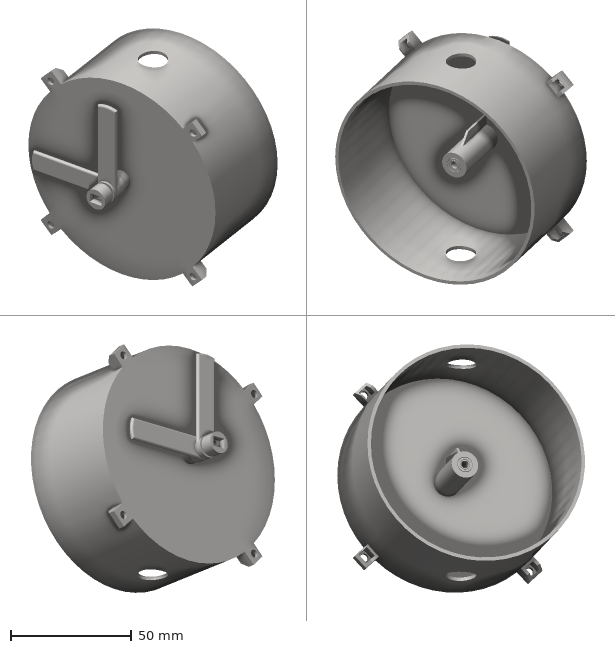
import cadquery as cq

HOUSING_RADIUS = 47.0
HOUSING_DEPTH = 46.1
WALL = 1.5
SIDE_HOLE_DIAMETER = 12.7

BOSS_DIAMETER = 8.3
BOSS_LENGTH = 4.5
SLEEVE_DIAMETER = 11.5
SLEEVE_LENGTH = 28.95
SPINDLE_BORE = 6.6
RIB_THICKNESS = 1.0
RIB_TOP_LENGTH = 17.6
RIB_LENGTH = 22.4

LUG_ANGLE = 44.7
LUG_REACH = 53.6
LUG_OUTER_HALF_WIDTH = 3.9
LEFT_LUG_INNER_HALF_WIDTH = 3.95
RIGHT_LUG_INNER_HALF_WIDTH = 3.1
LUG_DEPTH = 6.0
LUG_EDGE_DEPTH = 3.1
LUG_BEVEL = 2.7
SCREW_HOLE_DIAMETER = 3.5
SCREW_HOLE_RADIUS = 50.3
NUT_POCKET_LENGTH = 4.3
NUT_POCKET_WIDTH = 4.8
NUT_POCKET_FLOOR = 1.5

HAND_WIDTH = 9.4
HAND_THICKNESS = 1.4
HAND_ROUND = 0.9
TIP_BULGE = 0.8
HOUR_HAND_REACH = 39.2
HOUR_COLLAR_START = 4.8
HOUR_ARM_START = 8.1
HOUR_STEM_DIAMETER = 6.2
MINUTE_HAND_REACH = 41.5
MINUTE_HUB_DIAMETER = 9.5
MINUTE_HUB_START = 9.6
MINUTE_HUB_LENGTH = 3.1
MINUTE_ARM_START = 10.1

SHAFT_DIAMETER = 4.0
SHAFT_HOLE = 4.3
SHAFT_BORE = 3.2
KNOB_DIAMETER = 9.4
KNOB_START = 13.6
KNOB_END = 19.4
KNOB_SOCKET_WIDTH = 5.9
KNOB_SOCKET_HEIGHT = 4.3
KNOB_SOCKET_DEPTH = 3.0


def cylinder(diameter, y_back, y_front):
    """Cylinder on the spindle axis, reaching from y_back forward to y_front."""
    return cq.Workplane("XZ", origin=(0, y_back, 0)).circle(diameter / 2).extrude(y_back - y_front)


def make_lug(inner_half_width):
    """Upper right lug with a bevelled back edge; `inner_half_width` is on the side nearer the X axis."""
    root = HOUSING_RADIUS - 2 * WALL
    lug = (
        cq.Workplane("XY", origin=(0, 0, -inner_half_width))
        .moveTo(root, 0)
        .lineTo(LUG_REACH, 0)
        .lineTo(LUG_REACH, LUG_EDGE_DEPTH)
        .lineTo(LUG_REACH - LUG_BEVEL, LUG_DEPTH)
        .lineTo(root, LUG_DEPTH)
        .close()
        .extrude(inner_half_width + LUG_OUTER_HALF_WIDTH)
    )
    pocket = cq.Workplane("XY").box(
        NUT_POCKET_LENGTH, LUG_DEPTH, NUT_POCKET_WIDTH, centered=(True, False, True)
    ).translate((SCREW_HOLE_RADIUS, NUT_POCKET_FLOOR, 0))
    hole = cylinder(SCREW_HOLE_DIAMETER, LUG_DEPTH, 0).translate((SCREW_HOLE_RADIUS, 0, 0))
    return lug.cut(pocket).cut(hole).rotate((0, 0, 0), (0, 1, 0), -LUG_ANGLE)


def make_housing():
    """Round case, open at the back, with its lugs, boss and inner sleeve."""
    housing = cylinder(2 * HOUSING_RADIUS, HOUSING_DEPTH, 0)
    cavity = cylinder(2 * (HOUSING_RADIUS - WALL), HOUSING_DEPTH, WALL)
    upper_lugs = (
        make_lug(RIGHT_LUG_INNER_HALF_WIDTH),
        make_lug(LEFT_LUG_INNER_HALF_WIDTH).mirror("YZ"),
    )
    for lug in upper_lugs:
        housing = housing.union(lug).union(lug.mirror("XY"))
    housing = housing.cut(cavity)

    side_holes = (
        cq.Workplane("XY", origin=(0, HOUSING_DEPTH / 2, 0))
        .circle(SIDE_HOLE_DIAMETER / 2)
        .extrude(HOUSING_RADIUS + WALL, both=True)
    )
    housing = housing.cut(side_holes)

    sleeve_radius = SLEEVE_DIAMETER / 2
    rib_top = sleeve_radius + RIB_LENGTH - RIB_TOP_LENGTH
    rib = (
        cq.Workplane("YZ", origin=(-RIB_THICKNESS / 2, 0, 0))
        .moveTo(0, 0)
        .lineTo(RIB_LENGTH, 0)
        .lineTo(RIB_LENGTH, sleeve_radius)
        .lineTo(RIB_TOP_LENGTH, rib_top)
        .lineTo(0, rib_top)
        .close()
        .extrude(RIB_THICKNESS)
    )
    sleeve = cylinder(SLEEVE_DIAMETER, SLEEVE_LENGTH, 0).union(rib)
    boss = cylinder(BOSS_DIAMETER, 0, -BOSS_LENGTH)
    bore = cylinder(SPINDLE_BORE, SLEEVE_LENGTH, -BOSS_LENGTH)
    return housing.union(sleeve).union(boss).cut(bore)


def make_arm(reach, start):
    """Hand arm pointing to +Z: round at the spindle, bulged at the tip, its front edge rounded."""
    half = HAND_WIDTH / 2
    shoulder = reach - TIP_BULGE
    return (
        cq.Workplane("XZ", origin=(0, -start, 0))
        .moveTo(half, 0)
        .lineTo(half, shoulder)
        .threePointArc((0, reach), (-half, shoulder))
        .lineTo(-half, 0)
        .threePointArc((0, -half), (half, 0))
        .close()
        .extrude(HAND_THICKNESS)
        .faces("<Y")
        .edges()
        .fillet(HAND_ROUND)
    )


def make_hour_hand():
    """Hour hand pointing to -X, with a collar and a stem that turns in the boss."""
    arm = make_arm(HOUR_HAND_REACH, HOUR_ARM_START).rotate((0, 0, 0), (0, 1, 0), -90)
    collar = cylinder(HAND_WIDTH, -HOUR_COLLAR_START, -HOUR_ARM_START)
    stem = cylinder(HOUR_STEM_DIAMETER, SLEEVE_LENGTH, -HOUR_COLLAR_START)
    bore = cylinder(SHAFT_HOLE, SLEEVE_LENGTH, -KNOB_END)
    return arm.union(collar).union(stem).cut(bore)


def make_minute_hand():
    """Minute hand pointing to +Z, its hub fitted on the shaft."""
    arm = make_arm(MINUTE_HAND_REACH, MINUTE_ARM_START)
    hub_end = MINUTE_HUB_START + MINUTE_HUB_LENGTH
    hub = cylinder(MINUTE_HUB_DIAMETER, -MINUTE_HUB_START, -hub_end)
    return arm.union(hub).cut(cylinder(SHAFT_DIAMETER, 0, -KNOB_END))


def make_shaft():
    """Hollow shaft from the back of the sleeve to the bottom of the knob's socket."""
    end = -KNOB_END + KNOB_SOCKET_DEPTH
    return cylinder(SHAFT_DIAMETER, SLEEVE_LENGTH, end).cut(cylinder(SHAFT_BORE, SLEEVE_LENGTH, end))


def make_knob():
    """Round knob on the end of the shaft, with a rectangular socket in its front."""
    knob = cylinder(KNOB_DIAMETER, -KNOB_START, -KNOB_END)
    socket = (
        cq.Workplane("XZ", origin=(0, -KNOB_END, 0))
        .rect(KNOB_SOCKET_WIDTH, KNOB_SOCKET_HEIGHT)
        .extrude(-KNOB_SOCKET_DEPTH)
    )
    return knob.cut(socket).cut(cylinder(SHAFT_HOLE, 0, -KNOB_END + KNOB_SOCKET_DEPTH))


housing = make_housing()
hour_hand = make_hour_hand()
minute_hand = make_minute_hand()
shaft = make_shaft()
knob = make_knob()

result = cq.Compound.makeCompound(
    [housing.val(), hour_hand.val(), minute_hand.val(), shaft.val(), knob.val()]
)